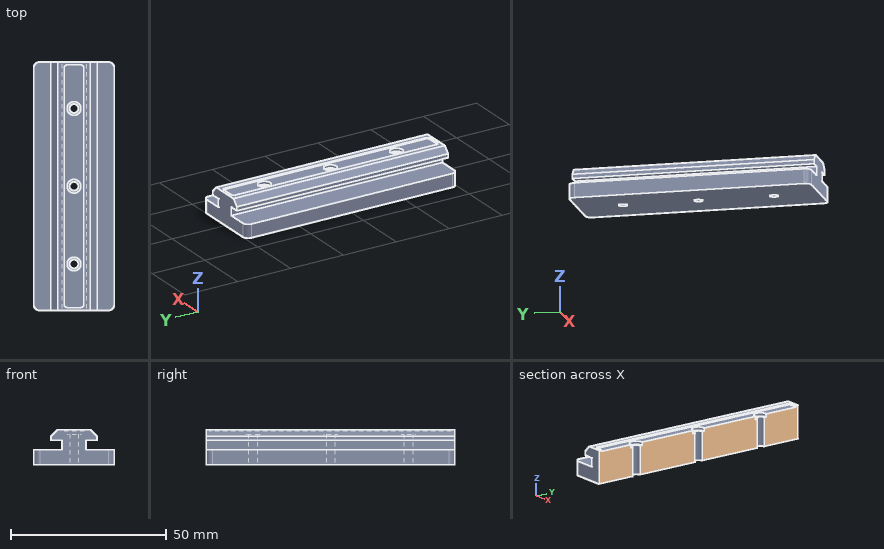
import cadquery as cq

length = 80.0
total_height = 11.4

base_width = 26.0
base_height = 4.9
base_corner_radius = 2.0

stem_width = 7.8
head_width = 14.8
head_height = 3.5
head_chamfer = 2.1

recess_margin = 1.0
recess_width = 6.4
recess_depth = 0.4
recess_corner_radius = 1.0

hole_count = 3
hole_spacing = 25.0
hole_diameter = 2.8
counterbore_diameter = 4.4
counterbore_depth = 1.1


def make_base():
    plate = cq.Workplane("XY").box(base_width, length, base_height, centered=(True, True, False))
    return plate.edges("|Z").fillet(base_corner_radius)


def make_rail():
    """Rail of T-shaped section with chamfered top edges, running the full length."""
    stem_height = total_height - head_height - base_height
    stem = (
        cq.Workplane("XY", origin=(0, 0, base_height))
        .box(stem_width, length, stem_height, centered=(True, True, False))
    )
    head = (
        cq.Workplane("XY", origin=(0, 0, total_height - head_height))
        .box(head_width, length, head_height, centered=(True, True, False))
        .edges("|Y and >Z")
        .chamfer(head_chamfer)
    )
    return stem.union(head)


def make_recess():
    recess_length = length - 2 * recess_margin
    recess = (
        cq.Workplane("XY", origin=(0, 0, total_height - recess_depth))
        .box(recess_width, recess_length, recess_depth, centered=(True, True, False))
    )
    return recess.edges("|Z").fillet(recess_corner_radius)


def cut_screw_holes(body):
    recess_floor = total_height - recess_depth
    return (
        body.copyWorkplane(cq.Workplane("XY", origin=(0, 0, recess_floor)))
        .rarray(1, hole_spacing, 1, hole_count)
        .cboreHole(hole_diameter, counterbore_diameter, counterbore_depth)
    )


body = make_base().union(make_rail()).cut(make_recess())
result = cut_screw_holes(body)